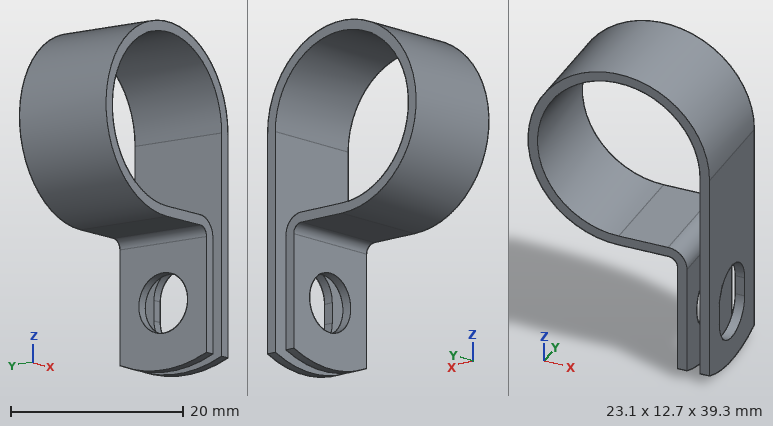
import cadquery as cq
import math

height = 39.25
width = 12.7
thickness = 1.2
loop_radius = 11.55
leg_gap = 1.65
bend_radius = 1.18
hole_diameter = 7.15
hole_height = 7.93
slot_length = 9.57
tip_sagitta = 1.3

loop_center_z = height - loop_radius
inner_radius = loop_radius - thickness
outer_bend_radius = bend_radius + thickness
short_leg_right = inner_radius - leg_gap
short_leg_left = short_leg_right - thickness
bend_x = short_leg_right - outer_bend_radius
bend_z = loop_center_z - inner_radius - outer_bend_radius
diagonal = math.sqrt(0.5)


def make_strip():
    """Bent strip: long leg, three-quarter loop, flat shelf, bend and short leg."""
    profile = (
        cq.Workplane("XZ")
        .moveTo(loop_radius, 0)
        .lineTo(loop_radius, loop_center_z)
        .threePointArc(
            (-loop_radius * diagonal, loop_center_z + loop_radius * diagonal),
            (0, loop_center_z - loop_radius),
        )
        .lineTo(bend_x, loop_center_z - loop_radius)
        .threePointArc(
            (bend_x + bend_radius * diagonal, bend_z + bend_radius * diagonal),
            (short_leg_left, bend_z),
        )
        .lineTo(short_leg_left, 0)
        .lineTo(short_leg_right, 0)
        .lineTo(short_leg_right, bend_z)
        .threePointArc(
            (bend_x + outer_bend_radius * diagonal, bend_z + outer_bend_radius * diagonal),
            (bend_x, bend_z + outer_bend_radius),
        )
        .lineTo(0, loop_center_z - inner_radius)
        .threePointArc(
            (-inner_radius * diagonal, loop_center_z + inner_radius * diagonal),
            (inner_radius, loop_center_z),
        )
        .lineTo(inner_radius, 0)
        .close()
    )
    return profile.extrude(width / 2, both=True)


def make_side_envelope():
    """Strip outline seen along X, with the arc that rounds both leg tips."""
    return (
        cq.Workplane("YZ")
        .moveTo(-width / 2, height)
        .lineTo(-width / 2, tip_sagitta)
        .threePointArc((0, 0), (width / 2, tip_sagitta))
        .lineTo(width / 2, height)
        .close()
        .extrude(loop_radius, both=True)
    )


def make_screw_hole():
    """Round hole through the short leg."""
    return (
        cq.Workplane("YZ", origin=(short_leg_left, 0, hole_height))
        .circle(hole_diameter / 2)
        .extrude(thickness)
    )


def make_screw_slot():
    """Upright slot through the long leg, as wide as the hole and centred on its axis."""
    return (
        cq.Workplane("YZ", origin=(inner_radius, 0, hole_height))
        .slot2D(slot_length, hole_diameter, 90)
        .extrude(thickness)
    )


strip = make_strip().intersect(make_side_envelope())
result = strip.cut(make_screw_hole()).cut(make_screw_slot())